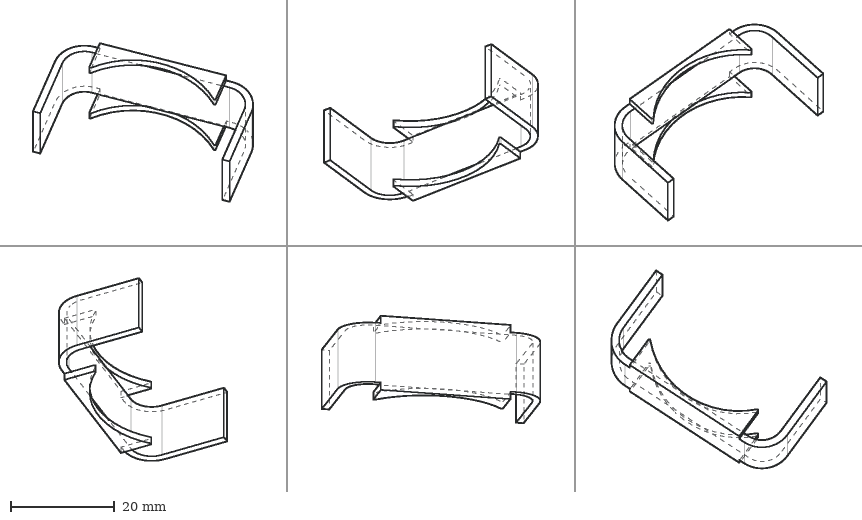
import cadquery as cq

width = 40.0
depth = 19.3
strap_height = 12.0
overall_height = 15.0
bend_radius = 6.0

plate_thickness = (overall_height - strap_height) / 2
wall = plate_thickness
plate_width = 25.7
sharp_corner_depth = 6.9
tip_radius = 0.2
saddle_web = 1.15

back_y = depth / 2


def make_strap():
    """Constant-thickness U band with rounded back corners."""
    outer = (
        cq.Workplane("XY")
        .box(width, depth, strap_height)
        .edges("|Z and >Y")
        .fillet(bend_radius)
    )
    inner = (
        cq.Workplane("XY")
        .box(width - 2 * wall, depth, strap_height)
        .edges("|Z and >Y")
        .fillet(bend_radius - wall)
        .translate((0, -wall, 0))
    )
    return outer.cut(inner)


def make_plate(bottom_z):
    """Flat plate with a concave arc front and rounded tips."""
    half_width = plate_width / 2
    corner_y = back_y - sharp_corner_depth
    return (
        cq.Workplane("XY", origin=(0, 0, bottom_z))
        .moveTo(-half_width, back_y)
        .lineTo(-half_width, corner_y)
        .threePointArc((0, back_y - saddle_web), (half_width, corner_y))
        .lineTo(half_width, back_y)
        .close()
        .extrude(plate_thickness)
        .edges("|Z and <Y")
        .fillet(tip_radius)
    )


upper_plate = make_plate(strap_height / 2)
lower_plate = make_plate(-overall_height / 2)
result = make_strap().union(upper_plate).union(lower_plate)